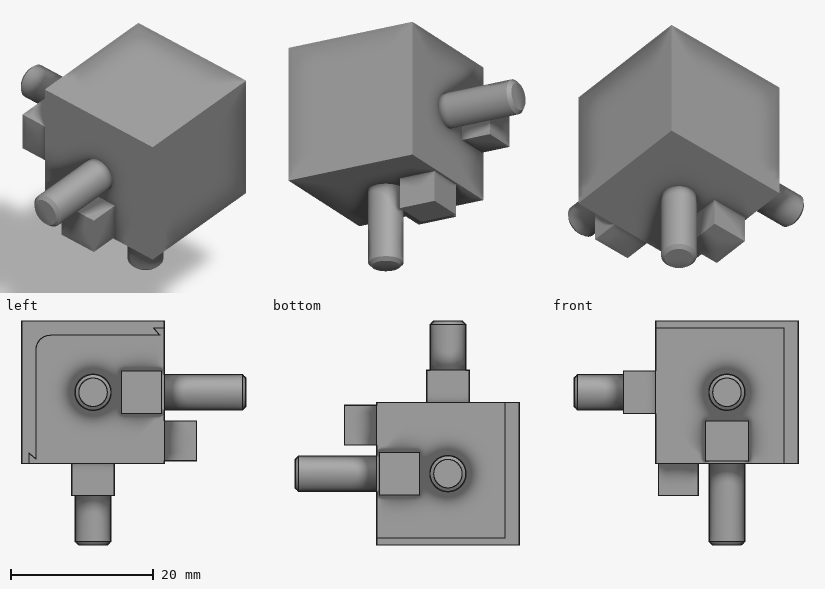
import cadquery as cq

overall_size = 31.4
cube_size = 20.0
half_cube = cube_size / 2

wall = 2.0
lip_thickness = wall / 2
lip_root_width = 0.65
lip_tip_width = 1.5
inner_corner_radius = 2.0

pin_diameter = 5.0
pin_hole_diameter = 5.1
pin_chamfer = 0.5
pin_insertion = pin_diameter
pin_protrusion = overall_size - cube_size
pin_length = pin_protrusion + pin_insertion

peg_width = 6.0
peg_depth = 5.6
peg_height = 4.5
peg_edge_gap = 0.4

face_angles = [0, 120, 240]


def turn_to_face(shape, angle):
    return shape.rotate((0, 0, 0), (1, 1, 1), angle)


def make_housing_core():
    """Block that fills the cover from the -X side, with dovetail edges along X."""
    inner = half_cube - wall
    lip_face = half_cube - lip_thickness
    outline = (
        cq.Workplane("YZ", origin=(-half_cube, 0, 0))
        .moveTo(-half_cube, -half_cube)
        .lineTo(lip_face, -half_cube)
        .lineTo(lip_face, -half_cube + lip_tip_width)
        .lineTo(inner, -half_cube + lip_root_width)
        .lineTo(inner, inner)
        .lineTo(-half_cube + lip_root_width, inner)
        .lineTo(-half_cube + lip_tip_width, lip_face)
        .lineTo(-half_cube, lip_face)
        .close()
    )
    block = outline.extrude(cube_size - wall)
    corner_edge = cq.selectors.NearestToPointSelector((-wall / 2, inner, inner))
    return block.edges(corner_edge).fillet(inner_corner_radius)


def make_peg():
    """Peg on the -X face, set close to the face's -Y edge."""
    peg_center_y = -half_cube + peg_edge_gap + peg_depth / 2
    face_plane = cq.Workplane("YZ", origin=(-half_cube, peg_center_y, 0))
    return face_plane.rect(peg_depth, peg_width).extrude(-peg_height)


def make_pin_hole():
    """Blind clearance hole for the pin in the -X face."""
    face_plane = cq.Workplane("YZ", origin=(-half_cube, 0, 0))
    return face_plane.circle(pin_hole_diameter / 2).extrude(pin_insertion)


def make_housing():
    housing = make_housing_core()
    for angle in face_angles:
        housing = housing.union(turn_to_face(make_peg(), angle))
        housing = housing.cut(turn_to_face(make_pin_hole(), angle))
    return housing


def make_cover():
    return cq.Workplane("XY").box(cube_size, cube_size, cube_size).cut(make_housing_core())


def make_pin(angle):
    """Pin standing out of one face, chamfered at its free end."""
    pin = (
        cq.Workplane("YZ", origin=(-half_cube - pin_protrusion, 0, 0))
        .circle(pin_diameter / 2)
        .extrude(pin_length)
        .faces("<X")
        .chamfer(pin_chamfer)
    )
    return turn_to_face(pin, angle)


housing = make_housing()
cover = make_cover()
pins = [make_pin(angle) for angle in face_angles]

result = cq.Compound.makeCompound([housing.val(), cover.val(), *[pin.val() for pin in pins]])